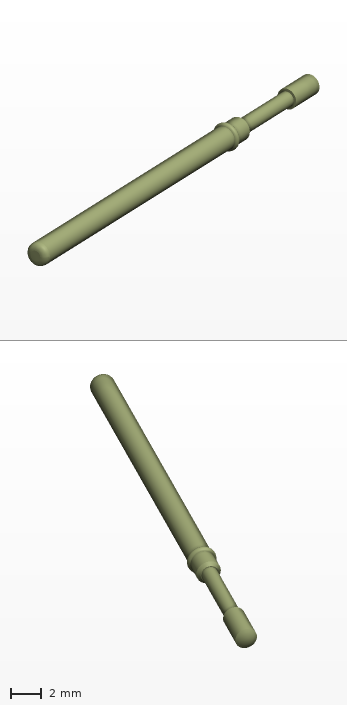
import cadquery as cq

overall_length = 32.3
tail_y = -overall_length / 2
tip_y = overall_length / 2

head_radius = 0.75
head_length = 2.97
dome_height = 0.25
stem_radius = 0.55

barrel_radius = 0.85
barrel_top_y = tip_y - 8.3
mouth_radius = 0.6
mouth_taper_length = 0.23
tail_round = 0.45

ring_radius = 1.0
ring_width = 0.52
ring_y = tip_y - 10.05
ring_round = ring_width / 2


def revolve_profile(profile):
    """Turn a closed (radius, y) profile around the Y axis."""
    return profile.close().revolve(360, (0, 0, 0), (0, 1, 0))


def make_barrel():
    """Barrel with a rounded tail and a tapered mouth."""
    profile = (
        cq.Workplane("XY")
        .moveTo(0, tail_y)
        .lineTo(barrel_radius - tail_round, tail_y)
        .radiusArc((barrel_radius, tail_y + tail_round), -tail_round)
        .lineTo(barrel_radius, barrel_top_y - mouth_taper_length)
        .lineTo(mouth_radius, barrel_top_y)
        .lineTo(0, barrel_top_y)
    )
    return revolve_profile(profile)


def make_ring():
    """Press ring with a half-round outer edge."""
    flank_radius = ring_radius - ring_round
    profile = (
        cq.Workplane("XY")
        .moveTo(0, ring_y - ring_round)
        .lineTo(flank_radius, ring_y - ring_round)
        .threePointArc((ring_radius, ring_y), (flank_radius, ring_y + ring_round))
        .lineTo(0, ring_y + ring_round)
    )
    return revolve_profile(profile)


def make_plunger():
    """Slim stem carrying a larger head with a spherical tip."""
    dome_radius = (head_radius**2 + dome_height**2) / (2 * dome_height)
    profile = (
        cq.Workplane("XY")
        .moveTo(0, barrel_top_y - mouth_taper_length)
        .lineTo(stem_radius, barrel_top_y - mouth_taper_length)
        .lineTo(stem_radius, tip_y - head_length)
        .lineTo(head_radius, tip_y - head_length)
        .lineTo(head_radius, tip_y - dome_height)
        .radiusArc((0, tip_y), -dome_radius)
    )
    return revolve_profile(profile)


result = make_barrel().union(make_ring()).union(make_plunger())